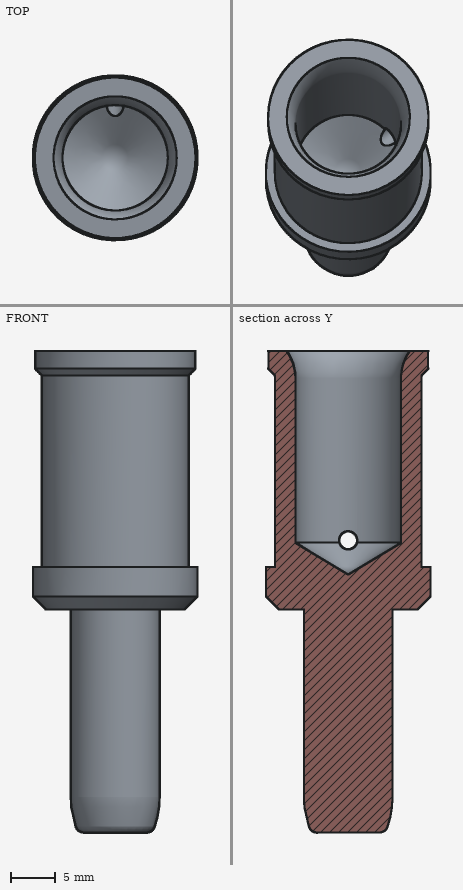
import cadquery as cq
import math

total_height = 54.0
flange_bottom = 25.0
flange_top = 29.8
tip_height = 4.0

pin_diameter = 10.0
flange_diameter = 18.5
barrel_diameter = 16.5
lip_diameter = 18.0

flange_chamfer = 1.5
lip_height = 2.0
tip_arc_radius = 10.0
tip_fillet = 1.0

bore_diameter = 11.8
mouth_diameter = 13.8
mouth_depth = 3.0
bore_floor = 32.5
drill_point_angle = 118.0

inspection_diameter = 2.0
inspection_rise = 0.27

pin_radius = pin_diameter / 2
flange_radius = flange_diameter / 2
barrel_radius = barrel_diameter / 2
lip_radius = lip_diameter / 2
bore_radius = bore_diameter / 2
mouth_radius = mouth_diameter / 2


def arc_offset(radius, rise):
    """Sideways departure of an arc from its vertical tangent after the given rise."""
    return radius - math.sqrt(radius**2 - rise**2)


def make_body():
    """Solid of revolution: pin, flange, barrel and lip."""
    tip_end_radius = pin_radius - arc_offset(tip_arc_radius, tip_height)
    tip_mid_radius = pin_radius - arc_offset(tip_arc_radius, tip_height / 2)
    lip_bottom = total_height - lip_height
    neck_top = lip_bottom - (lip_radius - barrel_radius)
    body = (
        cq.Workplane("XZ")
        .lineTo(tip_end_radius, 0)
        .threePointArc((tip_mid_radius, tip_height / 2), (pin_radius, tip_height))
        .lineTo(pin_radius, flange_bottom)
        .lineTo(flange_radius - flange_chamfer, flange_bottom)
        .lineTo(flange_radius, flange_bottom + flange_chamfer)
        .lineTo(flange_radius, flange_top)
        .lineTo(barrel_radius, flange_top)
        .lineTo(barrel_radius, neck_top)
        .lineTo(lip_radius, lip_bottom)
        .lineTo(lip_radius, total_height)
        .lineTo(0, total_height)
        .close()
        .revolve(360, (0, 0), (0, 1))
    )
    return body.faces("<Z").edges().fillet(tip_fillet)


def make_bore():
    """Bore with a drill-point bottom and a mouth that curves outward to the top face."""
    drill_point_depth = bore_radius / math.tan(math.radians(drill_point_angle / 2))
    mouth_flare = mouth_radius - bore_radius
    mouth_arc_radius = (mouth_depth**2 + mouth_flare**2) / (2 * mouth_flare)
    mouth_mid_radius = bore_radius + arc_offset(mouth_arc_radius, mouth_depth / 2)
    return (
        cq.Workplane("XZ")
        .moveTo(0, bore_floor - drill_point_depth)
        .lineTo(bore_radius, bore_floor)
        .lineTo(bore_radius, total_height - mouth_depth)
        .threePointArc(
            (mouth_mid_radius, total_height - mouth_depth / 2),
            (mouth_radius, total_height),
        )
        .lineTo(0, total_height)
        .close()
        .revolve(360, (0, 0), (0, 1))
    )


def make_inspection_hole():
    """Radial cylinder from the part axis outward through the +Y wall."""
    return (
        cq.Workplane("XZ", origin=(0, 0, bore_floor + inspection_rise))
        .circle(inspection_diameter / 2)
        .extrude(-flange_radius)
    )


result = make_body().cut(make_bore()).cut(make_inspection_hole())